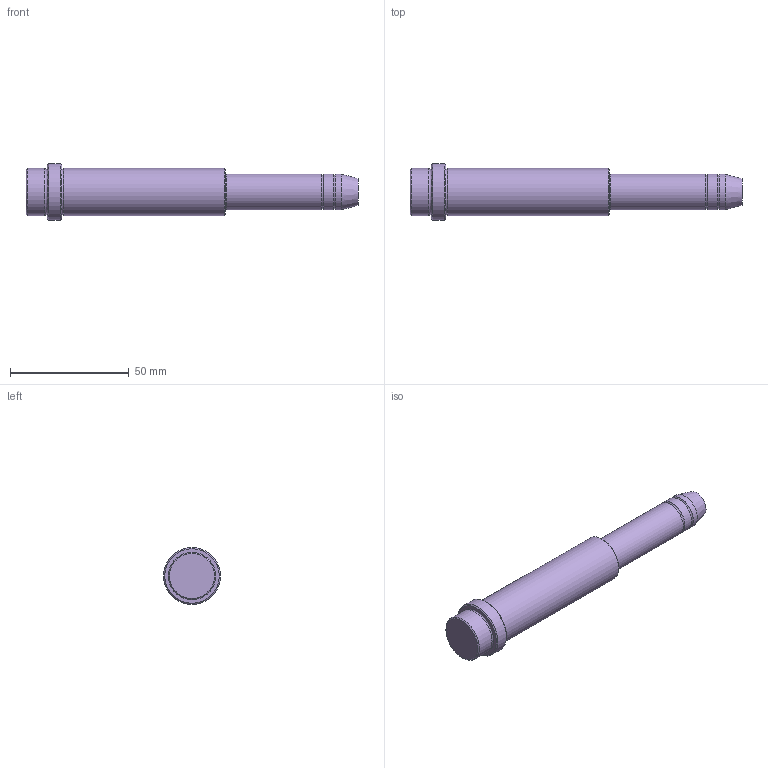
import cadquery as cq
import math

total_length = 140.0
body_diameter = 20.0
collar_diameter = 24.0
pin_diameter = 15.0

collar_start = 9.0
collar_end = 15.0
body_end = 84.0
pin_groove_starts = (124.5, 129.5)
taper_start = 133.0

edge_chamfer = 0.5
taper_angle = 15.0

collar_relief_width = 1.0
collar_relief_depth = 0.5
root_relief_width = 0.5
root_relief_depth = 0.25

pin_groove_width = 1.0
pin_groove_depth = 0.5


def turned(start, end, diameter):
    """Cylinder on the X axis between two stations."""
    return cq.Workplane("YZ").workplane(offset=start).circle(diameter / 2).extrude(end - start)


def round_relief(start, width, diameter, depth):
    """Ring with an arc-shaped floor, to be cut from a cylinder of the given diameter."""
    radius = diameter / 2
    middle = start + width / 2
    section = (
        cq.Workplane("XY")
        .moveTo(start, radius)
        .threePointArc((middle, radius - depth), (start + width, radius))
        .close()
    )
    return section.revolve(360, (0, 0, 0), (1, 0, 0))


def make_head():
    head = turned(0, collar_start, body_diameter).faces("<X").chamfer(edge_chamfer)
    relief_start = collar_start - collar_relief_width
    return head.cut(round_relief(relief_start, collar_relief_width, body_diameter, collar_relief_depth))


def make_collar():
    collar = turned(collar_start, collar_end, collar_diameter)
    return collar.faces("<X or >X").edges().chamfer(edge_chamfer)


def make_body():
    body = turned(collar_end, body_end, body_diameter).faces(">X").chamfer(edge_chamfer)
    return body.cut(round_relief(collar_end, collar_relief_width, body_diameter, collar_relief_depth))


def make_pin():
    pin = turned(body_end, taper_start, pin_diameter)
    pin = pin.cut(round_relief(body_end, root_relief_width, pin_diameter, root_relief_depth))
    for start in pin_groove_starts:
        pin = pin.cut(round_relief(start, pin_groove_width, pin_diameter, pin_groove_depth))
    return pin


def make_nose():
    """Cone frustum that narrows to the free end of the pin."""
    length = total_length - taper_start
    tip_radius = pin_diameter / 2 - length * math.tan(math.radians(taper_angle))
    axis = cq.Vector(1, 0, 0)
    base_center = cq.Vector(taper_start, 0, 0)
    return cq.Workplane(cq.Solid.makeCone(pin_diameter / 2, tip_radius, length, base_center, axis))


result = make_head().union(make_collar()).union(make_body()).union(make_pin()).union(make_nose())